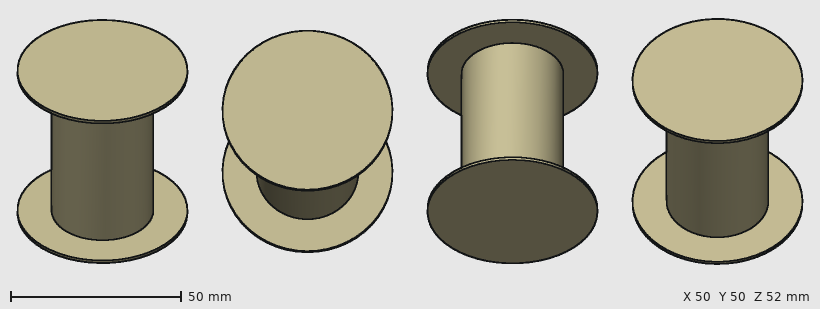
import cadquery as cq

total_height = 52.0
flange_diameter = 50.0
flange_thickness = 1.0
core_diameter = 30.0

core_height = total_height - 2 * flange_thickness


def disc(diameter, height, bottom):
    """Solid cylinder on the Z axis, rising from the given bottom height."""
    return cq.Workplane("XY").workplane(offset=bottom).circle(diameter / 2).extrude(height)


bottom_flange = disc(flange_diameter, flange_thickness, 0)
core = disc(core_diameter, core_height, flange_thickness)
top_flange = disc(flange_diameter, flange_thickness, total_height - flange_thickness)

result = bottom_flange.union(core).union(top_flange)